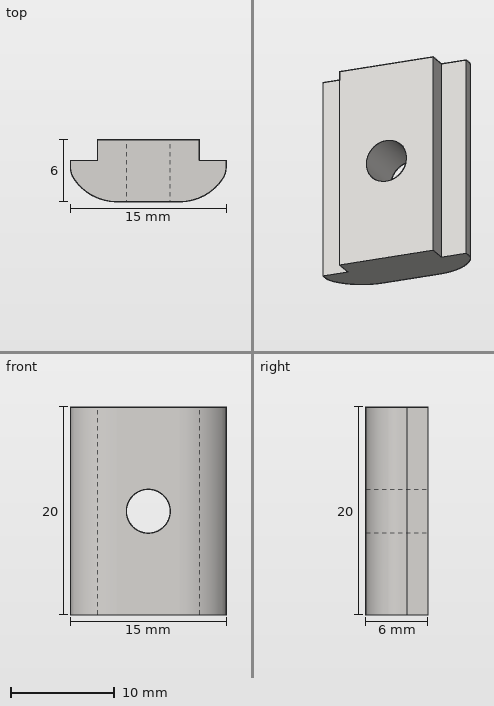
import cadquery as cq
import math

width = 15.0
depth = 6.0
height = 20.0

rib_width = 9.8
rib_depth = 2.0

flat_width = 6.0
large_radius = 5.0
small_radius = 2.0

hole_diameter = 4.2

half_width = width / 2
half_rib = rib_width / 2
half_flat = flat_width / 2
front_y = -depth / 2
back_y = depth / 2
shoulder_y = back_y - rib_depth

large_center = (half_flat, front_y + large_radius)
center_gap = large_radius - small_radius
center_dx = half_width - small_radius - large_center[0]
center_dy = -math.sqrt(center_gap**2 - center_dx**2)
small_center = (large_center[0] + center_dx, large_center[1] + center_dy)
tangent_angle = math.atan2(center_dy, center_dx)


def arc_point(center, radius, angle):
    return (
        center[0] + radius * math.cos(angle),
        center[1] + radius * math.sin(angle),
    )


def mirrored(point):
    return (-point[0], point[1])


large_middle = arc_point(large_center, large_radius, (tangent_angle - math.pi / 2) / 2)
arc_joint = arc_point(large_center, large_radius, tangent_angle)
small_middle = arc_point(small_center, small_radius, tangent_angle / 2)
side_start = (half_width, small_center[1])

body = (
    cq.Workplane("XY")
    .workplane(offset=-height / 2)
    .moveTo(-half_flat, front_y)
    .lineTo(half_flat, front_y)
    .threePointArc(large_middle, arc_joint)
    .threePointArc(small_middle, side_start)
    .lineTo(half_width, shoulder_y)
    .lineTo(half_rib, shoulder_y)
    .lineTo(half_rib, back_y)
    .lineTo(-half_rib, back_y)
    .lineTo(-half_rib, shoulder_y)
    .lineTo(-half_width, shoulder_y)
    .lineTo(*mirrored(side_start))
    .threePointArc(mirrored(small_middle), mirrored(arc_joint))
    .threePointArc(mirrored(large_middle), (-half_flat, front_y))
    .close()
    .extrude(height)
)

hole = cq.Workplane("XZ").circle(hole_diameter / 2).extrude(depth, both=True)

result = body.cut(hole)